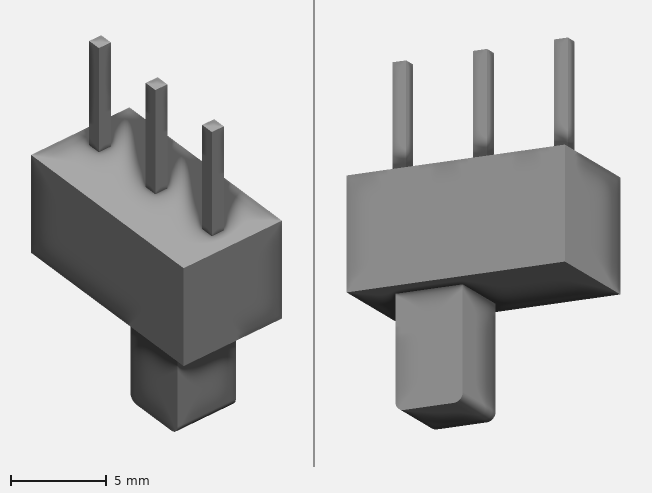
import cadquery as cq

total_height = 19.6
body_height = 6.39
lever_length = 6.4
pin_length = total_height - body_height - lever_length

body_length = 12.7
body_width = 6.6

pin_side = 0.8
pin_pitch = 4.7
pin_count = 3

lever_side = 3.92
lever_offset = 2.21
lever_tip_radius = 0.5


def make_body():
    """Plain block standing on Z = 0, centred in X and Y."""
    return cq.Workplane("XY").rect(body_length, body_width).extrude(body_height)


def make_pins():
    """Row of square pins along X on top of the body."""
    return (
        cq.Workplane("XY", origin=(0, 0, body_height))
        .rarray(pin_pitch, 0.2, pin_count, 1)
        .rect(pin_side, pin_side)
        .extrude(pin_length)
    )


def make_lever():
    """Square lever below the body, its two tip edges along Y rounded."""
    return (
        cq.Workplane("XY", origin=(lever_offset, 0, 0))
        .rect(lever_side, lever_side)
        .extrude(-lever_length)
        .faces("<Z")
        .edges("|Y")
        .fillet(lever_tip_radius)
    )


result = make_body().union(make_pins()).union(make_lever())